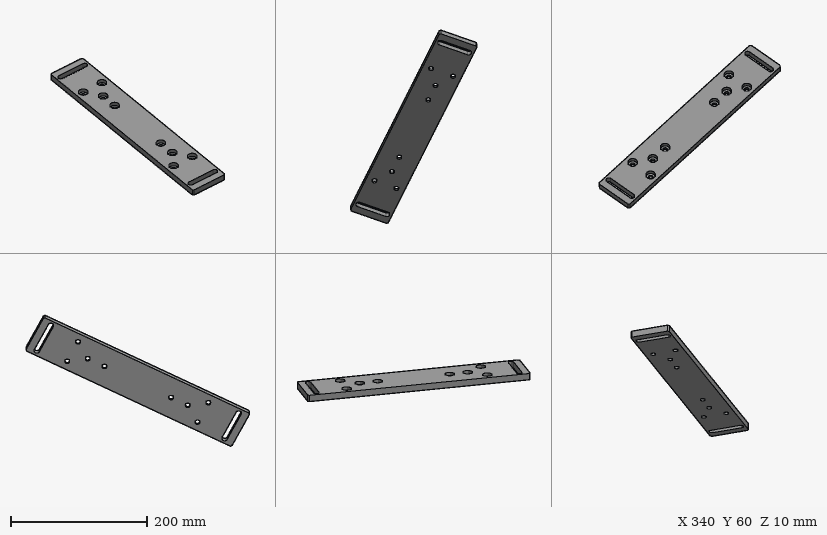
import cadquery as cq

LENGTH = 340.0
WIDTH = 60.0
THICKNESS = 10.0
CORNER_CHAMFER = 2.0

SLOT_WIDTH = 8.0
SLOT_TRAVEL = 45.0
SLOT_LENGTH = SLOT_TRAVEL + SLOT_WIDTH
SLOT_SPACING = 310.0

HOLE_DIAMETER = 7.0
COUNTERBORE_DIAMETER = 14.0
COUNTERBORE_DEPTH = 6.0
OUTER_SPACING_X = 215.0
OUTER_SPACING_Y = 35.0
CENTRELINE_SPACINGS = (165.0, 110.0)


def make_plate():
    """Rectangular plate with chamfered vertical corners."""
    plate = cq.Workplane("XY").box(LENGTH, WIDTH, THICKNESS, centered=(True, True, False))
    return plate.edges("|Z").chamfer(CORNER_CHAMFER)


def cut_end_slots(plate):
    """Through slots running along Y, one at each end."""
    return (
        plate.faces(">Z")
        .workplane(origin=(0, 0, THICKNESS))
        .rarray(SLOT_SPACING, 1, 2, 1)
        .slot2D(SLOT_LENGTH, SLOT_WIDTH, angle=90)
        .cutThruAll()
    )


def screw_hole_centres():
    """Four outer holes on a rectangle and mirrored pairs on the long centreline."""
    centres = []
    for side in (-1, 1):
        outer_x = side * OUTER_SPACING_X / 2
        centres.append((outer_x, -OUTER_SPACING_Y / 2))
        centres.append((outer_x, OUTER_SPACING_Y / 2))
        for spacing in CENTRELINE_SPACINGS:
            centres.append((side * spacing / 2, 0))
    return centres


def cut_screw_holes(plate):
    """Through holes counterbored from the top face."""
    return (
        plate.faces(">Z")
        .workplane(origin=(0, 0, THICKNESS))
        .pushPoints(screw_hole_centres())
        .cboreHole(HOLE_DIAMETER, COUNTERBORE_DIAMETER, COUNTERBORE_DEPTH)
    )


result = cut_screw_holes(cut_end_slots(make_plate()))